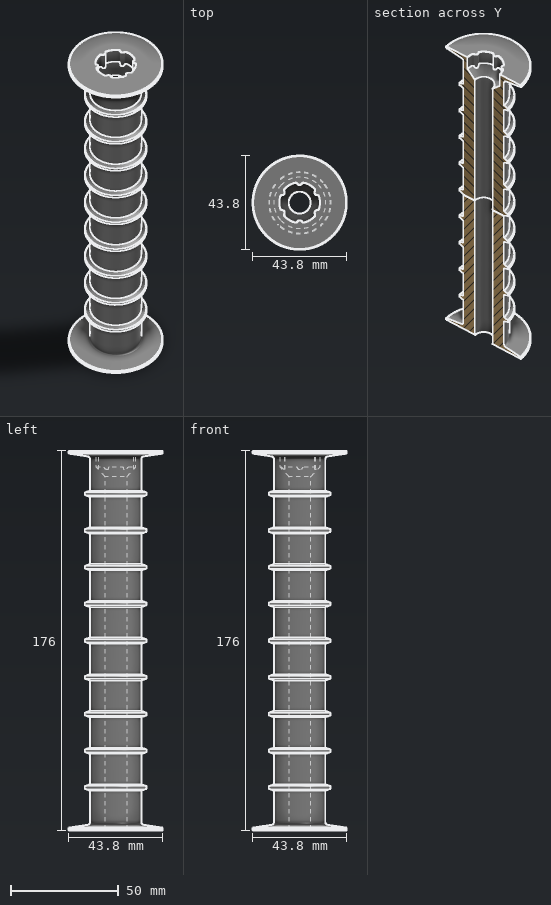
import cadquery as cq
import math

length = 176.0
tube_diameter = 24.0
bore_diameter = 10.0

flange_diameter = 43.8
rim_thickness = 1.5
rim_chamfer = 0.44
flange_root_thickness = 2.9
flange_root_fillet = 1.0

rib_count = 9
rib_pitch = 17.0
rib_crest_diameter = 28.9
rib_shoulder_diameter = 28.2
rib_root_width = 3.0
rib_shoulder_width = 1.4

lobe_count = 6
lobe_half_angle = 22
socket_diameter = 18.7
socket_ridge_diameter = 16.2
socket_corner_fillet = 0.7
socket_mouth_chamfer = 0.2
socket_wall_depth = 7.4
socket_cone_depth = 4.5
socket_depth = socket_wall_depth + socket_cone_depth

joint_height = length / 2 - rib_root_width / 2
rib_heights = [length / 2 + (i - (rib_count - 1) / 2) * rib_pitch for i in range(rib_count)]


def revolve_about_z(outline):
    """Full turn of a closed (radius, height) outline about the Z axis."""
    return outline.revolve(360, (0, 0, 0), (0, 1, 0))


def point_on_circle(diameter, degrees):
    angle = math.radians(degrees)
    return (diameter / 2 * math.cos(angle), diameter / 2 * math.sin(angle))


def flanged_tube(height):
    """Solid round tube blank that stands on its flange at Z = 0."""
    rim_radius = flange_diameter / 2
    tube_radius = tube_diameter / 2
    outline = cq.Workplane("XZ").polyline(
        [
            (0, 0),
            (rim_radius - rim_chamfer, 0),
            (rim_radius, rim_chamfer),
            (rim_radius, rim_thickness - rim_chamfer),
            (rim_radius - rim_chamfer, rim_thickness),
            (tube_radius, flange_root_thickness),
            (tube_radius, height),
            (0, height),
        ]
    ).close()
    flange_root = cq.selectors.NearestToPointSelector((0, 0, flange_root_thickness))
    return revolve_about_z(outline).edges(flange_root).fillet(flange_root_fillet)


def rib(height):
    """Disc centred on the given height, to be merged with the tube."""
    tube_radius = tube_diameter / 2
    shoulder_radius = rib_shoulder_diameter / 2
    root_bottom = height - rib_root_width / 2
    root_top = height + rib_root_width / 2
    outline = (
        cq.Workplane("XZ")
        .moveTo(0, root_bottom)
        .lineTo(tube_radius, root_bottom)
        .lineTo(shoulder_radius, height - rib_shoulder_width / 2)
        .threePointArc(
            (rib_crest_diameter / 2, height),
            (shoulder_radius, height + rib_shoulder_width / 2),
        )
        .lineTo(tube_radius, root_top)
        .lineTo(0, root_top)
        .close()
    )
    return revolve_about_z(outline)


def bore():
    return cq.Workplane("XY").circle(bore_diameter / 2).extrude(length)


def lobed_prism():
    """Socket cross-section: wide lobes parted by narrow rounded ridges."""
    lobe_step = 360 / lobe_count
    outline = cq.Workplane("XY", origin=(0, 0, length)).moveTo(
        *point_on_circle(socket_diameter, -lobe_half_angle)
    )
    for i in range(lobe_count):
        middle = i * lobe_step
        outline = outline.threePointArc(
            point_on_circle(socket_diameter, middle),
            point_on_circle(socket_diameter, middle + lobe_half_angle),
        ).threePointArc(
            point_on_circle(socket_ridge_diameter, middle + lobe_step / 2),
            point_on_circle(socket_diameter, middle + lobe_step - lobe_half_angle),
        )
    return outline.close().extrude(-socket_depth).edges("|Z").fillet(socket_corner_fillet)


def socket():
    """Lobed prism trimmed below by the conical floor."""
    envelope = cq.Workplane("XZ").polyline(
        [
            (0, length),
            (socket_diameter / 2, length),
            (socket_diameter / 2, length - socket_wall_depth),
            (bore_diameter / 2, length - socket_depth),
            (0, length - socket_depth),
        ]
    ).close()
    return lobed_prism().intersect(revolve_about_z(envelope))


def make_lower_half():
    half = flanged_tube(joint_height)
    for height in rib_heights:
        if height < joint_height:
            half = half.union(rib(height))
    return half.cut(bore())


def make_upper_half():
    half = flanged_tube(length - joint_height).mirror("XY", (0, 0, length / 2))
    for height in rib_heights:
        if height > joint_height:
            half = half.union(rib(height))
    half = half.cut(bore()).cut(socket())
    end_face = half.faces(">Z")
    mouth_edges = end_face.val().innerWires()[0].Edges()
    return end_face.newObject(mouth_edges).chamfer(socket_mouth_chamfer)


lower_half = make_lower_half()
upper_half = make_upper_half()

result = cq.Compound.makeCompound([lower_half.val(), upper_half.val()])